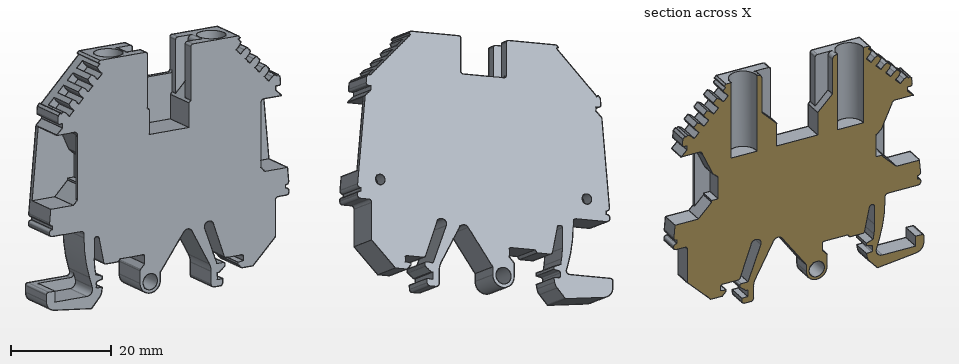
import cadquery as cq
import math


width = 7.9
height = 51.1
side_wall = 0.9
thin_wall = 0.6
outside = 33.95

tower_inner_y = 5.05
notch_floor_z = 43.45
edge_round = 0.5
shoulder_y = 16.2
shoulder_z = 50.4
shoulder_drop = 8.95
rim_y = 27.95
housing_floor_z = 16.35

groove_start_x = 2.4
groove_count = 4
groove_pitch = 3.1
first_groove = 1.8
groove_mouth = 1.9
groove_throat = 1.45
flare_depth = 0.75
groove_depth = 1.85

screw_x = 4.35
screw_y = 12.0
screw_diameter = 5.85
screw_floor_z = 33.95

slot_x = 2.2
slot_width = 3.55
slot_back_y = 7.9
slot_round = 0.9

pocket_half_y = 4.6
pocket_floor_z = 33.95
ramp_foot_z = 39.05

entry_floor_z = 22.1
entry_top_z = 37.15
entry_floor_end_y = 22.35
entry_face_y = 21.4
entry_round = 0.7
funnel_back_y = 17.9
funnel_back_top_z = 30.35
funnel_throat_y = 19.1
funnel_throat_z = 31.4
funnel_ramp_top_z = 25.1
funnel_sill_z = 25.45
funnel_top_z = 36.45

peg_y = 22.85
peg_z = 20.55
peg_diameter = 2.1
peg_depth = 3.4

ring_y = -4.4
ring_z = 3.45
ring_radius = 2.4
ring_bore = 3.35

foot_top_z = 5.0
foot_end_y = -28.65
foot_pocket_x = 1.5
foot_pocket_z = 2.7
foot_pocket_rise = 1.35
foot_bar = 2.0
foot_pocket_round = 1.3
latch_top_y = -18.1
latch_bend_y = -19.85
latch_bend_z = 10.65


def rounded_outline(corners):
    """Closed YZ wire from (y, z) or (y, z, radius) corners, rounding those with a radius."""
    stretches = []
    for i, corner in enumerate(corners):
        here = cq.Vector(*corner[:2])
        radius = corner[2] if len(corner) == 3 else 0
        if not radius:
            stretches.append((here,))
            continue
        to_last = (cq.Vector(*corners[i - 1][:2]) - here).normalized()
        to_next = (cq.Vector(*corners[(i + 1) % len(corners)][:2]) - here).normalized()
        half_angle = to_last.getAngle(to_next) / 2
        setback = radius / math.tan(half_angle)
        bisector = (to_last + to_next).normalized()
        middle = here + bisector * (radius / math.sin(half_angle) - radius)
        stretches.append((here + to_last * setback, middle, here + to_next * setback))

    path = cq.Workplane("YZ").moveTo(*stretches[0][-1].toTuple()[:2])
    for stretch in stretches[1:] + stretches[:1]:
        path = path.lineTo(*stretch[0].toTuple()[:2])
        if len(stretch) == 3:
            path = path.threePointArc(stretch[1].toTuple()[:2], stretch[2].toTuple()[:2])
    return path.close()


def prism(corners, x_start, x_end):
    """Solid with a rounded YZ outline between two X positions."""
    return rounded_outline(corners).extrude(x_end - x_start).translate((x_start, 0, 0))


def mirrored(corners):
    """The same corners on the other side of Y = 0, in reverse order."""
    return [(-corner[0], *corner[1:]) for corner in reversed(corners)]


def both_ends(solid):
    return solid.union(solid.mirror("XZ"))


shoulder_end_y = shoulder_y + shoulder_drop
shoulder_end_z = shoulder_z - shoulder_drop
upper_side = [
    (tower_inner_y, notch_floor_z, edge_round),
    (tower_inner_y, height, edge_round),
    (16.15, height),
    (16.6, 50.65),
    (shoulder_y, shoulder_z),
    (shoulder_end_y, shoulder_end_z),
    (25.35, 41.7),
    (25.85, 41.15),
    (26.05, 39.35, 0.45),
    (24.9, 39.35),
    (24.9, 38.5),
    (26.2, 37.25),
    (rim_y, 18.5, 0.7),
    (27.15, 18.5),
    (27.15, 17.85),
    (rim_y, 17.7, 0.6),
    (rim_y, housing_floor_z, 0.7),
]

fixed_foot = [
    (24.8, housing_floor_z, 0.6),
    (24.8, 8.15),
    (19.5, 2.95),
    (16.9, 2.95),
    (16.1, 3.8),
    (16.1, 4.25),
    (17.3, 4.4),
    (17.3, 5.65, 0.45),
    (12.95, 5.65, 0.45),
]
spring_hook = [
    (10.0, 14.0, 0.95),
    (7.85, 13.5, 0.95),
    (11.15, 4.75),
    (13.0, 4.75, 0.35),
    (13.0, 3.95, 0.35),
    (11.6, 2.85),
    (11.2, 2.85),
    (11.2, 1.4),
    (12.55, 1.4),
    (12.45, 0.0, 0.6),
    (9.8, 0.0, 0.7),
    (9.8, 4.2, 3.4),
    (4.45, 14.0, 1.15),
]
lug_near_y = ring_y + ring_radius
lug_far_y = ring_y - ring_radius
ring_lug = [
    (lug_near_y, 5.05),
    (lug_near_y, ring_z),
    (lug_far_y, ring_z),
    (lug_far_y, 6.2, 0.4),
    (-5.7, 7.35),
    (-5.7, 9.3, 0.4),
    (-11.4, 9.3),
    (-11.9, 8.7),
    (-15.15, 8.7, 0.5),
]
latch = [
    (-16.4, 14.7, 0.5),
    (-17.45, 14.7, 0.45),
    (-17.45, 9.05, 14.15),
    (-17.1, 6.85),
    (-15.55, 6.35),
    (-15.55, 5.7),
    (-17.0, 5.45, 0.4),
    (-17.0, 4.15, 0.3),
    (-15.55, 4.0),
    (-15.85, 2.5, 2.25),
    (-18.1, 0.0, 0.3),
    (foot_end_y, 1.25, 2.1),
    (foot_end_y, foot_top_z, edge_round),
    (latch_top_y, foot_top_z, 0.7),
    (latch_bend_y, latch_bend_z, 28.3),
    (latch_bend_y, housing_floor_z, 0.7),
]


def housing():
    bottom = fixed_foot + spring_hook + ring_lug + latch
    body = prism(upper_side + bottom + mirrored(upper_side), 0, width)
    ring = cq.Workplane("YZ").center(ring_y, ring_z)
    body = body.union(ring.circle(ring_radius).extrude(width))
    return body.cut(ring.circle(ring_bore / 2).extrude(width))


def shoulder_grooves():
    """Flared grooves across both shoulders, open on the +X side."""
    open_width = 2 * groove_mouth - groove_throat
    section = [
        (-groove_throat / 2, -groove_depth),
        (groove_throat / 2, -groove_depth),
        (groove_throat / 2, -flare_depth),
        (open_width / 2, flare_depth),
        (-open_width / 2, flare_depth),
        (-groove_throat / 2, -flare_depth),
    ]
    one = prism(section, groove_start_x, width).rotate((0, 0, 0), (1, 0, 0), -45)
    grooves = cq.Workplane()
    for i in range(groove_count):
        step = (first_groove + i * groove_pitch) / math.sqrt(2)
        grooves = grooves.add(one.translate((0, shoulder_y + step, shoulder_z - step)))
    return both_ends(grooves.combine())


def screw_holes():
    hole = (
        cq.Workplane("XY", origin=(screw_x, screw_y, screw_floor_z))
        .circle(screw_diameter / 2)
        .extrude(height - screw_floor_z)
    )
    return both_ends(hole)


def centre_pocket():
    """Pocket between the towers, with a driver slot and a 45 degree ramp into each tower."""
    pocket = prism(
        [
            (-pocket_half_y, pocket_floor_z),
            (pocket_half_y, pocket_floor_z),
            (pocket_half_y, ramp_foot_z),
            (tower_inner_y, ramp_foot_z + tower_inner_y - pocket_half_y),
            (tower_inner_y, notch_floor_z + edge_round),
            (-tower_inner_y, notch_floor_z + edge_round),
            (-tower_inner_y, ramp_foot_z + tower_inner_y - pocket_half_y),
            (-pocket_half_y, ramp_foot_z),
        ],
        side_wall,
        width,
    )
    slot_end = slot_x + slot_width
    slot = prism(
        [
            (pocket_half_y, ramp_foot_z),
            (slot_back_y, ramp_foot_z + slot_back_y - pocket_half_y),
            (slot_back_y, height),
            (pocket_half_y, height),
        ],
        slot_x,
        slot_end,
    )
    lead_in = (
        cq.Workplane("YZ")
        .moveTo(slot_back_y, height)
        .lineTo(slot_back_y, height - slot_round)
        .radiusArc((slot_back_y + slot_round, height), slot_round)
        .close()
        .extrude(slot_width)
        .translate((slot_x, 0, 0))
    )
    return pocket.union(both_ends(slot.union(lead_in)))


def wire_entries():
    """Mouth in each end, open to +X, with a funnel behind it closed by the thin wall."""
    ramp_rise = entry_floor_end_y - entry_face_y
    ramp_start_z = entry_floor_z + ramp_rise
    ramp_end_y = entry_face_y - (funnel_ramp_top_z - ramp_start_z)
    mouth = prism(
        [
            (outside, entry_floor_z),
            (entry_floor_end_y, entry_floor_z),
            (entry_face_y, ramp_start_z),
            (entry_face_y, entry_top_z, entry_round),
            (outside, entry_top_z),
        ],
        side_wall,
        width,
    )
    funnel = prism(
        [
            (entry_face_y, ramp_start_z),
            (ramp_end_y, funnel_ramp_top_z),
            (ramp_end_y, funnel_sill_z),
            (funnel_back_y, funnel_sill_z),
            (funnel_back_y, funnel_back_top_z),
            (funnel_throat_y, funnel_throat_z),
            (entry_face_y, funnel_top_z),
        ],
        side_wall,
        width - thin_wall,
    )
    return both_ends(mouth.union(funnel))


def peg_holes():
    return both_ends(cq.Workplane("YZ").center(peg_y, peg_z).circle(peg_diameter / 2).extrude(peg_depth))


def foot_pocket():
    """Pocket in the latch foot; its back wall carries on in line with the leaning stem."""
    lean = (latch_bend_y - latch_top_y) / (latch_bend_z - foot_top_z)
    pocket_top_z = foot_top_z + foot_pocket_rise
    bar_inner_y = foot_end_y + foot_bar
    return prism(
        [
            (latch_top_y + lean * (pocket_top_z - foot_top_z), pocket_top_z),
            (latch_top_y + lean * (foot_pocket_z - foot_top_z), foot_pocket_z, foot_pocket_round),
            (bar_inner_y, foot_pocket_z),
            (bar_inner_y, pocket_top_z),
        ],
        foot_pocket_x,
        width,
    )


result = housing()
for cutter in (
    shoulder_grooves(),
    screw_holes(),
    centre_pocket(),
    wire_entries(),
    peg_holes(),
    foot_pocket(),
):
    result = result.cut(cutter)